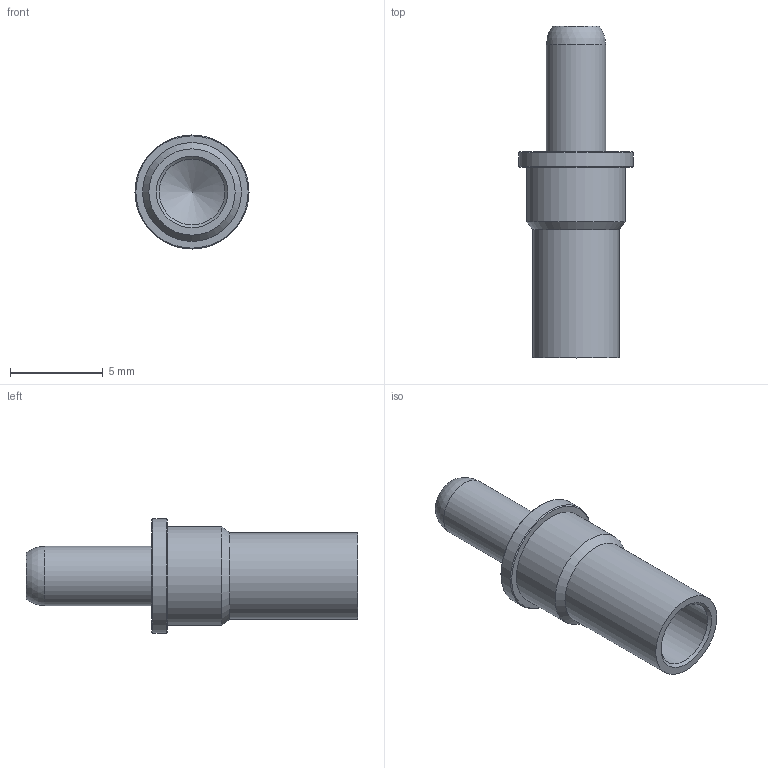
import cadquery as cq
import math

total_length = 17.92
pin_length = 6.8
tip_length = 1.0
flange_thickness = 0.82
barrel_length = 2.95
shoulder_length = 0.42
bore_depth = 7.0

pin_diameter = 3.2
flange_diameter = 6.16
barrel_diameter = 5.34
tube_diameter = 4.66
bore_diameter = 3.55

tip_sphere_radius = pin_diameter / 2
flange_edge_chamfer = 0.05
bore_mouth_chamfer = 0.15
drill_point_angle = 118.0

tip_y = total_length / 2
mouth_y = -total_length / 2
tip_start_y = tip_y - tip_length
flange_front_y = tip_y - pin_length
flange_back_y = flange_front_y - flange_thickness
shoulder_start_y = flange_back_y - barrel_length
shoulder_end_y = shoulder_start_y - shoulder_length
bore_end_y = mouth_y + bore_depth


def tip_radius_at(distance):
    """Radius of the spherical pin tip at a distance beyond its start."""
    return math.sqrt(tip_sphere_radius**2 - distance**2)


def revolve_about_y(profile):
    """Turn a closed half profile, drawn as (radius, y), about the Y axis."""
    return profile.close().revolve(360, (0, 0, 0), (0, 1, 0))


def outer_body():
    """Pin with rounded tip, flange, barrel, conical shoulder and tube, all solid."""
    pin_radius = pin_diameter / 2
    flange_radius = flange_diameter / 2
    barrel_radius = barrel_diameter / 2
    tube_radius = tube_diameter / 2
    flange_face_radius = flange_radius - flange_edge_chamfer
    tip_arc_middle = (tip_radius_at(tip_length / 2), tip_start_y + tip_length / 2)

    profile = (
        cq.Workplane("XY")
        .moveTo(0, mouth_y)
        .lineTo(tube_radius, mouth_y)
        .lineTo(tube_radius, shoulder_end_y)
        .lineTo(barrel_radius, shoulder_start_y)
        .lineTo(barrel_radius, flange_back_y)
        .lineTo(flange_face_radius, flange_back_y)
        .lineTo(flange_radius, flange_back_y + flange_edge_chamfer)
        .lineTo(flange_radius, flange_front_y - flange_edge_chamfer)
        .lineTo(flange_face_radius, flange_front_y)
        .lineTo(pin_radius, flange_front_y)
        .lineTo(pin_radius, tip_start_y)
        .threePointArc(tip_arc_middle, (tip_radius_at(tip_length), tip_y))
        .lineTo(0, tip_y)
    )
    return revolve_about_y(profile)


def drilled_bore():
    """Blind bore with a chamfered mouth and a conical drill-point end."""
    bore_radius = bore_diameter / 2
    drill_point_length = bore_radius / math.tan(math.radians(drill_point_angle / 2))

    profile = (
        cq.Workplane("XY")
        .moveTo(0, mouth_y)
        .lineTo(bore_radius + bore_mouth_chamfer, mouth_y)
        .lineTo(bore_radius, mouth_y + bore_mouth_chamfer)
        .lineTo(bore_radius, bore_end_y)
        .lineTo(0, bore_end_y + drill_point_length)
    )
    return revolve_about_y(profile)


result = outer_body().cut(drilled_bore())